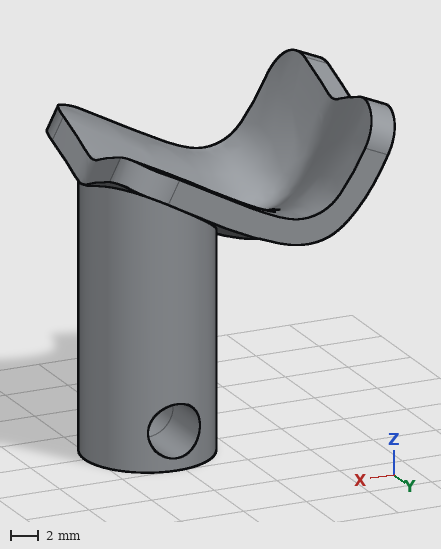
import cadquery as cq

post_diameter = 10.0
post_radius = post_diameter / 2
flat_distance = 4.0
hole_diameter = 4.15
hole_height = 3.02

saddle_width = 17.0
half_width = saddle_width / 2
left_corner_radius = 2.97
right_corner_radius = 3.18

seat_curve = [
    (-14.75, 24.75), (-13.42, 21.7), (-11.9, 19.12), (-10.58, 17.65), (-8.6, 17.0),
    (-5.95, 17.65), (-2.65, 19.3), (1.49, 21.5), (4.4, 22.97),
]
underside_curve = [
    (-16.65, 23.92), (-14.53, 19.55), (-12.57, 16.85), (-10.58, 15.33), (-8.6, 14.98),
    (-5.95, 15.6), (-2.65, 17.0), (2.65, 19.86), (5.3, 21.22),
]
post_embed_depth = 1.05

valley_rise = [(1.05, 0.27), (2.47, 0.85), (4.77, 1.65), (6.63, 2.02), (half_width, 2.17)]
rise_stations = [(-y, rise) for y, rise in reversed(valley_rise)] + [(0, 0)] + valley_rise


def raised(points, rise):
    return [(x, z + rise) for x, z in points]


def plate_profile(plane, rise):
    """Closed profile of the plate between its seat and its underside."""
    seat = raised(seat_curve, rise)
    underside = raised(underside_curve, rise)
    return (
        plane.moveTo(*seat[0])
        .spline(seat[1:], includeCurrent=True)
        .lineTo(*underside[-1])
        .spline(underside[-2::-1], includeCurrent=True)
        .close()
    )


def below_seat_profile(plane, rise):
    """Closed profile from the foot level up to a curve inside the plate."""
    seat = raised(seat_curve, rise - post_embed_depth)
    right_end = raised(underside_curve[-1:], rise)[0]
    return (
        plane.moveTo(*seat[0])
        .spline(seat[1:], includeCurrent=True)
        .lineTo(*right_end)
        .lineTo(right_end[0], 0)
        .lineTo(seat[0][0], 0)
        .close()
    )


def loft_across(profile):
    """Smooth solid through the profile at every station across Y."""
    wires = []
    for y, rise in rise_stations:
        plane = cq.Workplane("XZ", origin=(0, y, 0))
        wires.append(profile(plane, rise).val())
    return cq.Workplane(cq.Solid.makeLoft(wires))


def make_saddle():
    plate = loft_across(plate_profile)
    plate = plate.faces("<X").edges("<Y or >Y").fillet(left_corner_radius)
    sides = plate.faces(">X").edges("<Y or >Y")
    return sides.fillet(right_corner_radius)


def make_post():
    tallest = seat_curve[-1][1] + valley_rise[-1][1]
    bar = cq.Workplane().circle(post_radius).extrude(tallest)
    flat_side = cq.Workplane().box(
        post_diameter, post_diameter, tallest, centered=(True, False, False)
    ).translate((0, -flat_distance, 0))
    return bar.intersect(flat_side).intersect(loft_across(below_seat_profile))


pin_hole = (
    cq.Workplane("XZ").center(0, hole_height).circle(hole_diameter / 2).extrude(post_radius, both=True)
)
result = make_saddle().union(make_post()).cut(pin_hole)